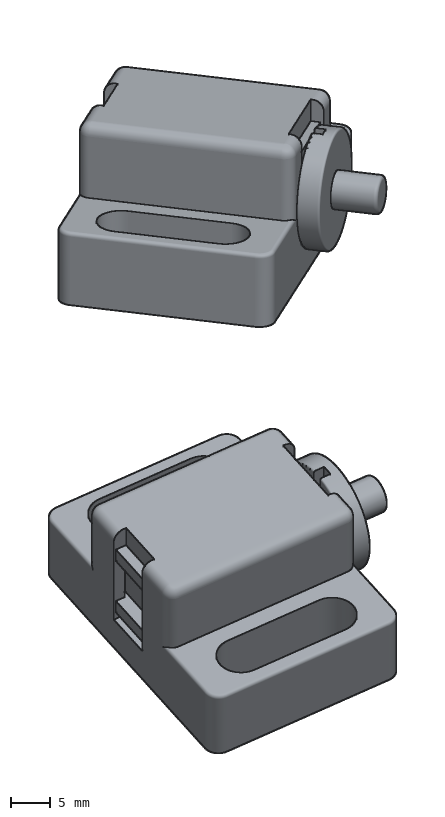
import cadquery as cq

body_length = 28.0
plate_width = 40.0
plate_height = 10.0
plate_corner_radius = 2.0
plate_edge_radius = 0.5

block_width = 19.0
block_height = 20.0
block_edge_radius = 1.5

slot_width = 6.2
slot_length = 19.7
slot_spacing = 30.0

window_width = 6.6
window_bottom = 4.9
window_depth = 1.8
lower_bar_bottom = 6.0
lower_bar_top = 8.0
upper_bar_bottom = 15.0
upper_bar_top = 17.0
bar_setback = 0.3

rear_wall_thickness = 1.6
undercut_depth = 2.2
undercut_side = 0.8

notch_width = 10.5
notch_depth = 1.7
rebate_depth = 0.45

plunger_height = 10.5
disc_diameter = 15.7
disc_thickness = 3.0
disc_edge_radius = 0.3
disc_slit_width = 1.5
disc_slit_depth = 1.5
pin_diameter = 5.0
pin_length = 6.0
pin_end_radius = 0.5


def box_between(x_range, width, z_range):
    """A box centred on y = 0, given its x range, full width and z range."""
    length = x_range[1] - x_range[0]
    height = z_range[1] - z_range[0]
    return (
        cq.Workplane("XY", origin=(x_range[0], 0, z_range[0]))
        .box(length, width, height, centered=(False, True, False))
    )


def make_plate():
    plate = box_between((0, body_length), plate_width, (0, plate_height))
    plate = plate.edges("|Z").fillet(plate_corner_radius)
    return plate.faces(">Z").edges().fillet(plate_edge_radius)


def make_block():
    block = box_between((0, body_length), block_width, (0, block_height))
    return block.edges("|Z or >Z").fillet(block_edge_radius)


def make_slots():
    return (
        cq.Workplane("XY", origin=(body_length / 2, 0, 0))
        .rarray(1, slot_spacing, 1, 2)
        .slot2D(slot_length, slot_width)
        .extrude(plate_height)
    )


def cut_rear_window(solid):
    solid = solid.cut(box_between((0, bar_setback), window_width, (window_bottom, block_height)))
    solid = solid.cut(box_between((0, window_depth), window_width, (upper_bar_top, block_height)))
    between_bars = (lower_bar_top, upper_bar_bottom)
    solid = solid.cut(box_between((0, rear_wall_thickness), window_width, between_bars))
    undercut_width = window_width + 2 * undercut_side
    solid = solid.cut(box_between((rear_wall_thickness, undercut_depth), undercut_width, between_bars))
    return solid.cut(box_between((0, body_length), window_width, (window_bottom, lower_bar_bottom)))


def cut_front_notch(solid):
    notch_back = body_length - notch_depth
    rebate_back = body_length - rebate_depth
    solid = solid.cut(box_between((notch_back, body_length), notch_width, (upper_bar_top, block_height)))
    return solid.cut(box_between((rebate_back, body_length), notch_width, (window_bottom, block_height)))


def make_housing():
    solid = make_plate().union(make_block()).cut(make_slots())
    return cut_front_notch(cut_rear_window(solid))


def make_plunger():
    axis_plane = cq.Workplane("YZ", origin=(body_length, 0, plunger_height))
    disc = axis_plane.circle(disc_diameter / 2).extrude(disc_thickness)
    disc = disc.edges().fillet(disc_edge_radius)
    pin = axis_plane.workplane(offset=disc_thickness).circle(pin_diameter / 2).extrude(pin_length)
    pin = pin.faces(">X").edges().fillet(pin_end_radius)
    slit = axis_plane.rect(disc_slit_width, disc_diameter).extrude(disc_slit_depth)
    return disc.union(pin).cut(slit)


housing = make_housing()
plunger = make_plunger()
result = cq.Compound.makeCompound([housing.val(), plunger.val()])